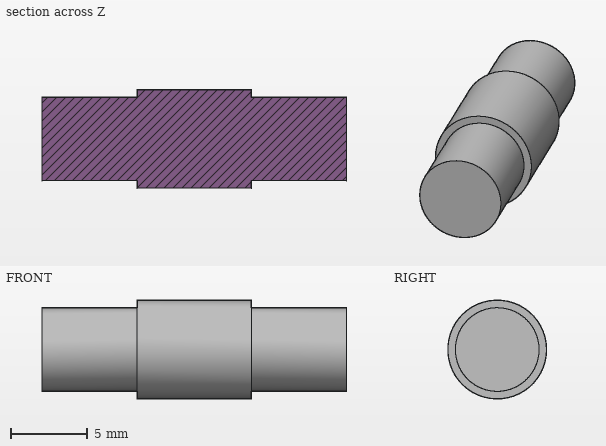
import cadquery as cq

total_length = 20.0
end_diameter = 5.5
collar_diameter = 6.5
collar_length = 7.5


def centred_cylinder(diameter, length):
    """Solid cylinder along X, centred on the origin."""
    start_plane = cq.Workplane("YZ").workplane(offset=-length / 2)
    return start_plane.circle(diameter / 2).extrude(length)


pin = centred_cylinder(end_diameter, total_length)
collar = centred_cylinder(collar_diameter, collar_length)

result = pin.union(collar)